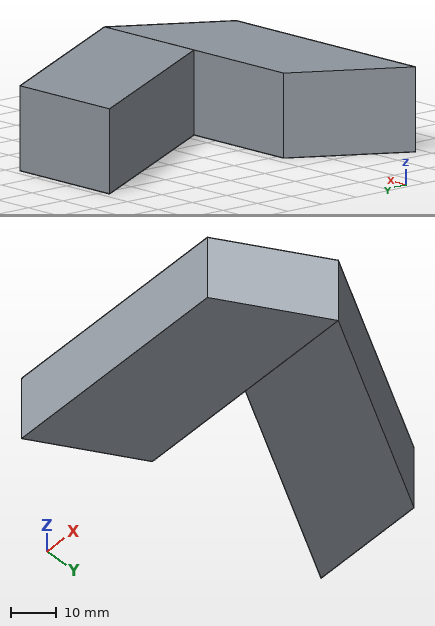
import cadquery as cq
import math

total_depth = 76.2
thickness = 19.05
slant_angle = math.radians(60)

short_side = total_depth / (3 * math.sin(slant_angle))
long_side = 2 * short_side


def parallelogram_block(right_corner, width, slant_x, slant_y):
    """Block with one edge running from the right corner toward -X and one along the slant."""
    x, y = right_corner
    return (
        cq.Workplane("XY")
        .moveTo(x, y)
        .lineTo(x + slant_x, y + slant_y)
        .lineTo(x + slant_x - width, y + slant_y)
        .lineTo(x - width, y)
        .close()
        .extrude(thickness)
    )


tip = (0, 0)

lower_block = parallelogram_block(
    tip,
    long_side,
    -short_side * math.cos(slant_angle),
    -short_side * math.sin(slant_angle),
)

upper_block = parallelogram_block(
    tip,
    short_side,
    -long_side * math.cos(slant_angle),
    long_side * math.sin(slant_angle),
)

result = cq.Compound.makeCompound([lower_block.val(), upper_block.val()])